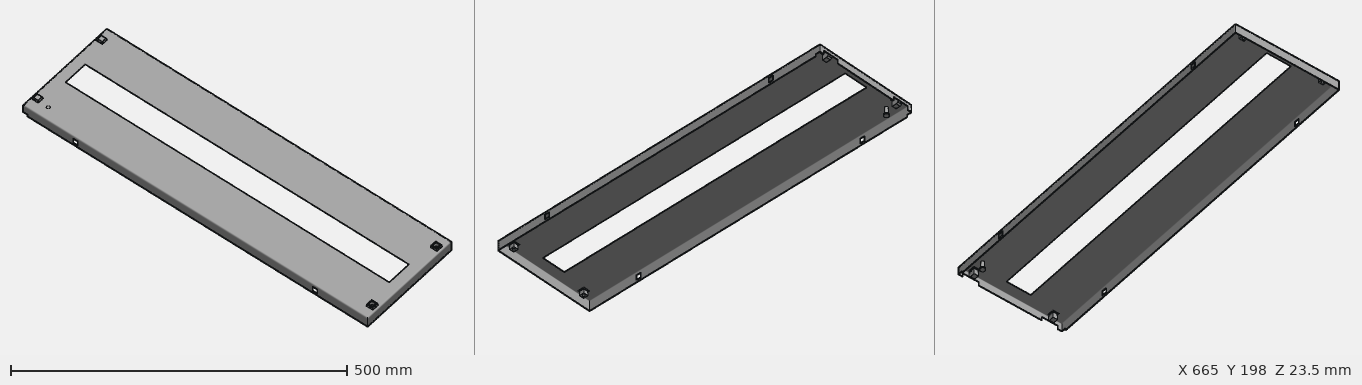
import cadquery as cq

LENGTH = 665.0
WIDTH = 198.0
PANEL_HEIGHT = 19.5
SHEET = 1.5
BEND_RADIUS = 2.5
CORNER_RADIUS = 1.6
INNER_BEND = BEND_RADIUS - SHEET
LEFT_END = -LENGTH / 2
RIGHT_END = LENGTH / 2
SHEET_UNDERSIDE = PANEL_HEIGHT - SHEET

WINDOW_MARGIN = 21.0
WINDOW_WIDTH = 46.0

SIDE_OPENING = 9.0
SIDE_OPENING_SPACING = 461.0
SIDE_OPENING_Z = 9.0

LEFT_FLANGE_BOTTOM = 4.0
LEFT_RELIEF_LENGTH = 9.5
FLANGE_NOTCH_WIDTH = 30.0
FLANGE_NOTCH_TOP = 11.0

FASTENER_Y = 75.0
PLUG_HEAD_SIDE = 12.0
BEZEL_SIDE = 12.7
HEAD_HEIGHT = 4.0
PLUG_X = LEFT_END + 10.0
BEZEL_X = RIGHT_END - 11.0
PLUG_HEAD_DRAFT = 20.0
BEZEL_DRAFT = 8.0

NECK_SIDE = 8.2
LEG_BOTTOM = 7.0
WEDGE_HEIGHT = 2.0
WEDGE_DEPTH = 3.0

SLEEVE_SIDE = 9.0
MOUTH_RADIUS = 4.0
BORE_RADIUS = 2.0
SLEEVE_BOTTOM = 10.0

STUD_X = LEFT_END + 32.0
STUD_Y = -77.0
STUD_RADIUS = 3.0
STUD_FOOT_RADIUS = 4.5
STUD_FOOT_HEIGHT = 2.5
STUD_BOTTOM = 2.5


def block(x_min, x_max, y_min, y_max, z_min, z_max):
    """Box given by its limits along each axis."""
    size = (x_max - x_min, y_max - y_min, z_max - z_min)
    return cq.Workplane("XY").box(*size, centered=False).translate((x_min, y_min, z_min))


def tray_block(inset):
    """Solid block inset from the panel's outside on every side but the open bottom."""
    half_length = LENGTH / 2 - inset
    half_width = WIDTH / 2 - inset
    return block(-half_length, half_length, -half_width, half_width, 0, PANEL_HEIGHT - inset)


def make_panel():
    outside = tray_block(0).edges("|Z").fillet(CORNER_RADIUS)
    outside = outside.faces(">Z").edges().fillet(BEND_RADIUS)
    inside = tray_block(SHEET).faces(">Z").edges().fillet(INNER_BEND)
    panel = outside.cut(inside)

    half_window = LENGTH / 2 - WINDOW_MARGIN
    panel = panel.cut(block(
        -half_window, half_window, -WINDOW_WIDTH / 2, WINDOW_WIDTH / 2, 0, PANEL_HEIGHT,
    ))

    for side in (-1, 1):
        opening = cq.Workplane("XY").box(SIDE_OPENING, WIDTH, SIDE_OPENING)
        panel = panel.cut(opening.translate((side * SIDE_OPENING_SPACING / 2, 0, SIDE_OPENING_Z)))

    panel = panel.cut(block(
        LEFT_END, LEFT_END + LEFT_RELIEF_LENGTH, -WIDTH / 2, WIDTH / 2, 0, LEFT_FLANGE_BOTTOM,
    ))

    for side in (-1, 1):
        y = side * FASTENER_Y
        panel = panel.cut(block(
            LEFT_END, LEFT_END + SHEET,
            y - FLANGE_NOTCH_WIDTH / 2, y + FLANGE_NOTCH_WIDTH / 2,
            0, FLANGE_NOTCH_TOP,
        ))

        neck_hole = cq.Workplane("XY").rect(NECK_SIDE, NECK_SIDE).extrude(PANEL_HEIGHT)
        panel = panel.cut(neck_hole.translate((PLUG_X, y, 0)))
        sleeve_hole = cq.Workplane("XY").rect(SLEEVE_SIDE, SLEEVE_SIDE).extrude(PANEL_HEIGHT)
        panel = panel.cut(sleeve_hole.translate((BEZEL_X, y, 0)))
    return panel


def square_head(x, y, side, draft):
    """Square head standing on the sheet, its sides leaning inwards by the draft angle."""
    head = cq.Workplane("XY").rect(side, side).extrude(HEAD_HEIGHT, taper=draft)
    return head.translate((x, y, PANEL_HEIGHT))


def make_plug(y):
    """Plug with a square head, a neck through the sheet and a wedge-ended leg below."""
    half = NECK_SIDE / 2
    neck = block(PLUG_X - half, PLUG_X + half, y - half, y + half, SHEET_UNDERSIDE, PANEL_HEIGHT)

    leg_front = LEFT_END + BEND_RADIUS
    leg_back = PLUG_X + half
    leg = (
        cq.Workplane("XZ")
        .moveTo(leg_front, SHEET_UNDERSIDE)
        .lineTo(leg_front, LEG_BOTTOM + WEDGE_HEIGHT)
        .lineTo(leg_front + WEDGE_DEPTH, LEG_BOTTOM)
        .lineTo(leg_back, LEG_BOTTOM)
        .lineTo(leg_back, SHEET_UNDERSIDE)
        .close()
        .extrude(half, both=True)
        .translate((0, y, 0))
    )
    return square_head(PLUG_X, y, PLUG_HEAD_SIDE, PLUG_HEAD_DRAFT).union(neck).union(leg)


def make_bezel(y):
    """Square frame around a sleeve."""
    opening = cq.Workplane("XY").rect(SLEEVE_SIDE, SLEEVE_SIDE).extrude(HEAD_HEIGHT)
    frame = square_head(BEZEL_X, y, BEZEL_SIDE, BEZEL_DRAFT)
    return frame.cut(opening.translate((BEZEL_X, y, PANEL_HEIGHT)))


def make_sleeve(y):
    """Square sleeve whose round mouth narrows to the bore over the height of the bezel."""
    top = PANEL_HEIGHT + HEAD_HEIGHT
    half = SLEEVE_SIDE / 2
    sleeve = block(-half, half, -half, half, SLEEVE_BOTTOM, top)
    bore = (
        cq.Workplane("XZ")
        .moveTo(0, SLEEVE_BOTTOM)
        .lineTo(BORE_RADIUS, SLEEVE_BOTTOM)
        .lineTo(BORE_RADIUS, PANEL_HEIGHT)
        .lineTo(MOUTH_RADIUS, top)
        .lineTo(0, top)
        .close()
        .revolve(360, (0, 0, 0), (0, 1, 0))
    )
    return sleeve.cut(bore).translate((BEZEL_X, y, 0))


def make_stud():
    """Round stud with a wider foot at its lower end."""
    shank = cq.Workplane("XY").circle(STUD_RADIUS).extrude(SHEET_UNDERSIDE - STUD_BOTTOM)
    foot = cq.Workplane("XY").circle(STUD_FOOT_RADIUS).extrude(STUD_FOOT_HEIGHT)
    return shank.union(foot).translate((STUD_X, STUD_Y, STUD_BOTTOM))


panel = make_panel()
stud = make_stud()
bodies = [panel.val(), stud.val()]
for side in (-1, 1):
    for make_body in (make_plug, make_bezel, make_sleeve):
        bodies.append(make_body(side * FASTENER_Y).val())

result = cq.Compound.makeCompound(bodies)